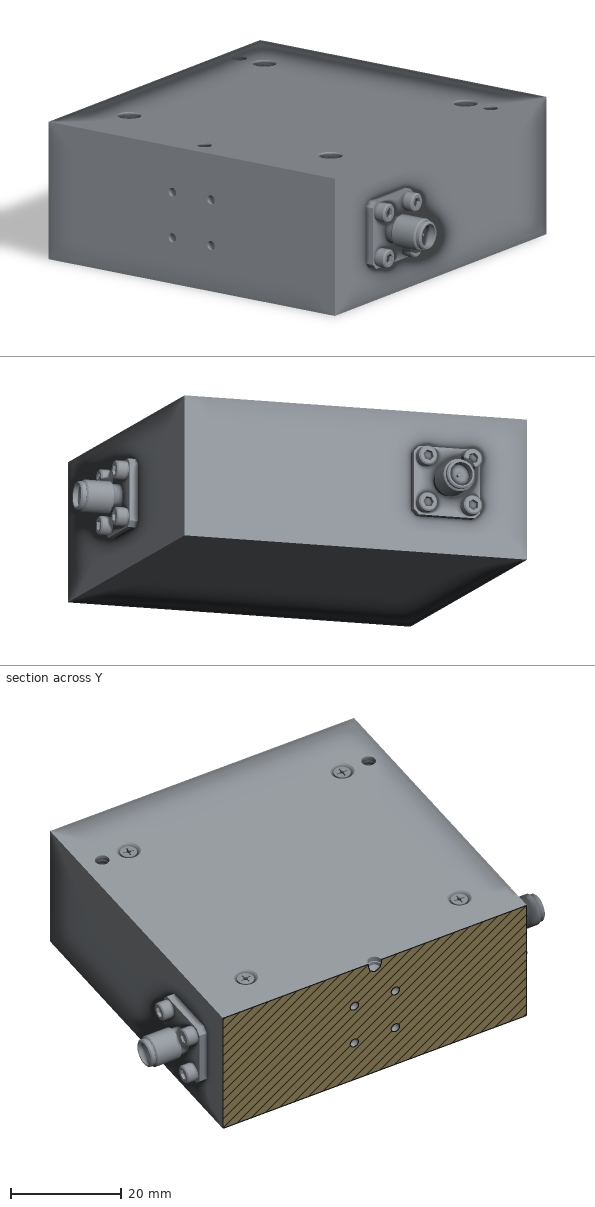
import cadquery as cq
import math

body_width = 64.0
body_depth = 66.0
body_height = 26.0
left_face = -body_width / 2
right_face = body_width / 2
front_face = -body_depth / 2
back_face = body_depth / 2
top_face = body_height / 2

overall_width = 83.0
connector_length = (overall_width - body_width) / 2
side_connector_inset = 16.0
side_connector_y = front_face + side_connector_inset
flange_size = 12.7
flange_thickness = 1.6
flange_corner_chamfer = 1.0
mount_pitch = 8.6
collar_radius = 2.6
collar_length = 1.6
barrel_radius = 3.0
barrel_chamfer = 0.25
tip_radius = 2.65
tip_length = 1.0
bore_radius = 2.15
bore_depth = 2.1
pin_radius = 0.25
pin_length = 0.8

head_radius = 1.75
head_height = 2.2
head_chamfer = 0.25
neck_radius = 1.7
neck_height = 0.4
socket_across_corners = 2.0
socket_depth = 1.0
flange_screw_angles = {(-1, -1): 0, (-1, 1): 30, (1, -1): 45, (1, 1): 15}

cover_screw_x = 22.5
cover_screw_inset = 11.95
cover_screw_y = back_face - cover_screw_inset
countersink_radius = 2.2
cover_head_radius = 1.6
countersink_depth = countersink_radius - cover_head_radius
cover_head_sink = 0.3
cross_span = 2.15
cross_width = 0.25
cross_centre_radius = 0.4
cross_depth = 0.7
cover_screw_angles = {(-1, -1): 10, (-1, 1): -10, (1, -1): 0, (1, 1): 0}

mount_entry_radius = 1.3
mount_entry_depth = 1.0
mount_hole_radius = 1.1
mount_hole_depth = 1.7
drill_point_angle = 118
mount_hole_x = 28.05
front_mount_hole_inset = 4.0
mount_hole_centres = [
    (-mount_hole_x, cover_screw_y),
    (mount_hole_x, cover_screw_y),
    (0, front_face + front_mount_hole_inset),
]

front_hole_radius = 0.8
front_hole_depth = 5.0


def revolve_profile(points):
    """Turn (radius, height) points about the Z axis."""
    return cq.Workplane("XZ").polyline(points).close().revolve(360, (0, 0, 0), (0, 1, 0))


def make_flange_screw():
    """Socket-head screw standing on Z = 0."""
    head = revolve_profile([
        (0, 0),
        (neck_radius, 0),
        (neck_radius, neck_height),
        (head_radius, neck_height),
        (head_radius, head_height - head_chamfer),
        (head_radius - head_chamfer, head_height),
        (0, head_height),
    ])
    socket = (
        cq.Workplane("XY", origin=(0, 0, head_height - socket_depth))
        .polygon(6, socket_across_corners)
        .extrude(socket_depth)
    )
    return head.cut(socket)


def make_connector():
    """Flanged connector standing on Z = 0 and pointing up."""
    flange = (
        cq.Workplane("XY")
        .rect(flange_size, flange_size)
        .extrude(flange_thickness)
        .edges("|Z")
        .chamfer(flange_corner_chamfer)
    )
    barrel_start = flange_thickness + collar_length
    barrel_end = connector_length - tip_length
    bore_floor = connector_length - bore_depth
    barrel = revolve_profile([
        (0, 0),
        (collar_radius, 0),
        (collar_radius, barrel_start),
        (barrel_radius - barrel_chamfer, barrel_start),
        (barrel_radius, barrel_start + barrel_chamfer),
        (barrel_radius, barrel_end - barrel_chamfer),
        (barrel_radius - barrel_chamfer, barrel_end),
        (tip_radius, barrel_end),
        (tip_radius, connector_length - barrel_chamfer),
        (tip_radius - barrel_chamfer, connector_length),
        (bore_radius, connector_length),
        (bore_radius, bore_floor),
        (pin_radius, bore_floor),
        (pin_radius, bore_floor + pin_length),
        (0, bore_floor + pin_length),
    ])
    connector = flange.union(barrel)
    screw = make_flange_screw()
    for (side_x, side_y), angle in flange_screw_angles.items():
        place = (side_x * mount_pitch / 2, side_y * mount_pitch / 2, flange_thickness)
        connector = connector.union(screw.rotate((0, 0, 0), (0, 0, 1), angle).translate(place))
    return connector


def make_cover_screw_recess():
    """Countersink around a screw head that has a cross recess, sunk below Z = 0."""
    recess = revolve_profile([
        (0, 0),
        (countersink_radius, 0),
        (cover_head_radius, -countersink_depth),
        (cover_head_radius, -cover_head_sink),
        (0, -cover_head_sink),
    ])
    cross_bottom = -cover_head_sink - cross_depth
    cross_plane = cq.Workplane("XY", origin=(0, 0, cross_bottom))
    for length, width in [(cross_span, cross_width), (cross_width, cross_span)]:
        slot = cross_plane.rect(length, width).extrude(-cross_bottom)
        recess = recess.union(slot)
    centre = cross_plane.circle(cross_centre_radius).extrude(-cross_bottom)
    return recess.union(centre)


def make_mount_hole():
    """Stepped hole with a pointed bottom, sunk below Z = 0."""
    point_depth = mount_hole_radius / math.tan(math.radians(drill_point_angle / 2))
    return revolve_profile([
        (0, 0),
        (mount_entry_radius, 0),
        (mount_entry_radius, -mount_entry_depth),
        (mount_hole_radius, -mount_entry_depth),
        (mount_hole_radius, -mount_hole_depth),
        (0, -mount_hole_depth - point_depth),
    ])


result = cq.Workplane("XY").box(body_width, body_depth, body_height)

cover_screw_recess = make_cover_screw_recess()
for (side_x, side_y), angle in cover_screw_angles.items():
    place = (side_x * cover_screw_x, side_y * cover_screw_y, top_face)
    result = result.cut(cover_screw_recess.rotate((0, 0, 0), (0, 0, 1), angle).translate(place))

mount_hole = make_mount_hole()
for x, y in mount_hole_centres:
    result = result.cut(mount_hole.translate((x, y, top_face)))

front_holes = (
    cq.Workplane("XZ", origin=(0, front_face, 0))
    .rarray(mount_pitch, mount_pitch, 2, 2)
    .circle(front_hole_radius)
    .extrude(-front_hole_depth)
)
result = result.cut(front_holes)

connector = make_connector()
left_connector = connector.rotate((0, 0, 0), (0, 1, 0), -90).translate((left_face, side_connector_y, 0))
right_connector = connector.rotate((0, 0, 0), (0, 1, 0), 90).translate((right_face, side_connector_y, 0))
back_connector = connector.rotate((0, 0, 0), (1, 0, 0), -90).translate((0, back_face, 0))
result = result.union(left_connector).union(right_connector).union(back_connector)